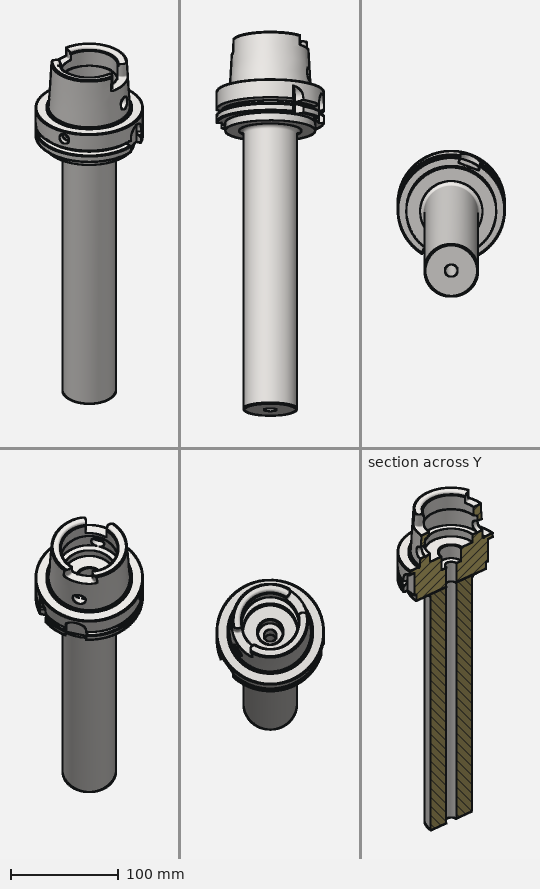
import cadquery as cq
import math

total_length = 353.0
taper_length = 49.0
flange_height = 30.0
collar_height = 7.5
shaft_length = total_length - taper_length - flange_height - collar_height
collar_top = shaft_length + collar_height
flange_top = collar_top + flange_height

flange_radius = 100.0 / 2
collar_radius = 83.5 / 2
taper_base_radius = 75.5 / 2
taper_end_radius = 70.2 / 2
rim_chamfer = 1.0
flange_chamfer = 0.7

relief_radius = 79.8 / 2
relief_middle_radius = 77.5 / 2
relief_depth = 1.0
taper_foot_height = 0.7

groove_drop = 20.0
groove_mouth = 5.5
groove_chamfer = 0.7
groove_floor = 2.0
groove_radius = 90.7 / 2

mouth_radius = 53.0 / 2
mouth_fillet = 2.8
mouth_step = 0.7
lip_depth = 19.5
undercut_radius = 62.0 / 2
undercut_slope = math.radians(30)
undercut_floor_depth = 40.2
socket_radius = 50.5 / 2
socket_depth = 49.0
tube_seat_radius = 23.3 / 2
tube_seat_chamfer = 0.7
tube_seat_depth = 15.0
coolant_radius = 11.5 / 2

slot_width = 20.0
shallow_slot_depth = 10.0
deep_slot_depth = 14.8
slot_corner_radius = 5.3
slot_floor_fillet = 1.8
cross_hole_radius = 12.5 / 2
cross_hole_drop = 34.2

pocket_width = 20.0
pocket_top_drop = 5.0
key_floor_distance = 44.0
notch_floor_distance = 30.7
notch_offset = 41.5

chip_hole_radius = 10.0 / 2
chip_hole_drop = 8.0
chip_hole_depth = 6.5
chip_pilot_radius = 1.0
chip_pilot_depth = 2.0

shaft_radius = 50.0 / 2
root_fillet = 4.0
shaft_chamfer = 1.0


def head_blank():
    """Revolved outside of the head: collar, grooved flange and taper, without the socket."""
    groove_middle = flange_top - groove_drop
    profile = [
        (0, shaft_length),
        (collar_radius, shaft_length),
        (collar_radius, collar_top),
        (flange_radius - flange_chamfer, collar_top),
        (flange_radius, collar_top + flange_chamfer),
        (flange_radius, groove_middle - groove_mouth / 2 - groove_chamfer),
        (flange_radius - groove_chamfer, groove_middle - groove_mouth / 2),
        (groove_radius, groove_middle - groove_floor / 2),
        (groove_radius, groove_middle + groove_floor / 2),
        (flange_radius, groove_middle + groove_mouth / 2),
        (flange_radius, flange_top - flange_chamfer),
        (flange_radius - flange_chamfer, flange_top),
        (relief_radius, flange_top),
        (relief_middle_radius, flange_top - relief_depth),
        (taper_base_radius, flange_top + taper_foot_height),
        (taper_end_radius, total_length - rim_chamfer),
        (taper_end_radius - rim_chamfer, total_length),
        (0, total_length),
    ]
    return cq.Workplane("XZ").polyline(profile).close().revolve(360, (0, 0), (0, 1))


def socket():
    """Stepped round cavity that opens at the rim and runs on as the coolant bore."""
    lip = total_length - lip_depth
    undercut_top = lip - (undercut_radius - mouth_radius) * math.tan(undercut_slope)
    undercut_floor = total_length - undercut_floor_depth
    socket_floor = total_length - socket_depth
    seat_floor = socket_floor - tube_seat_depth
    fillet_foot_radius = mouth_radius + mouth_step
    fillet_foot = total_length - mouth_fillet
    bend = mouth_fillet * (1 - math.sqrt(0.5))
    return (
        cq.Workplane("XZ")
        .moveTo(0, shaft_length)
        .lineTo(coolant_radius, shaft_length)
        .lineTo(coolant_radius, seat_floor)
        .lineTo(tube_seat_radius, seat_floor)
        .lineTo(tube_seat_radius, socket_floor - tube_seat_chamfer)
        .lineTo(tube_seat_radius + tube_seat_chamfer, socket_floor)
        .lineTo(socket_radius, socket_floor)
        .lineTo(socket_radius, undercut_floor)
        .lineTo(undercut_radius, undercut_floor)
        .lineTo(undercut_radius, undercut_top)
        .lineTo(mouth_radius, lip)
        .lineTo(mouth_radius, fillet_foot - mouth_step)
        .lineTo(fillet_foot_radius, fillet_foot)
        .threePointArc(
            (fillet_foot_radius + bend, total_length - bend),
            (fillet_foot_radius + mouth_fillet, total_length),
        )
        .lineTo(0, total_length)
        .close()
        .revolve(360, (0, 0), (0, 1))
    )


def driving_slot(side, depth):
    """Slot through the taper wall on the side -1 or +1 of X.

    Its walls round outward at the outer end, and a fillet joins them to the floor.
    """
    r = slot_corner_radius
    half = slot_width / 2
    corner_end = math.sqrt(taper_end_radius ** 2 - (half + r) ** 2)
    corner_start = corner_end - r
    outer = flange_radius
    bend = r * (1 - math.sqrt(0.5))
    slot = (
        cq.Workplane("XY")
        .workplane(offset=total_length - depth)
        .moveTo(0, -half)
        .lineTo(side * corner_start, -half)
        .threePointArc(
            (side * (corner_end - bend), -half - bend),
            (side * corner_end, -half - r),
        )
        .lineTo(side * corner_end, -outer)
        .lineTo(side * outer, -outer)
        .lineTo(side * outer, outer)
        .lineTo(side * corner_end, outer)
        .lineTo(side * corner_end, half + r)
        .threePointArc(
            (side * (corner_end - bend), half + bend),
            (side * corner_start, half),
        )
        .lineTo(0, half)
        .close()
        .extrude(depth)
    )
    return slot.faces("<Z").edges().fillet(slot_floor_fillet)


def cross_hole():
    return (
        cq.Workplane("YZ")
        .center(0, total_length - cross_hole_drop)
        .circle(cross_hole_radius)
        .extrude(taper_base_radius, both=True)
    )


def flange_pocket(side, floor_distance, offset):
    """Round-topped pocket cut along X to a flat floor, on the side -1 or +1 of X."""
    half = pocket_width / 2
    arch_top = flange_top - pocket_top_drop
    return (
        cq.Workplane("YZ")
        .workplane(offset=side * floor_distance)
        .moveTo(offset - half, collar_top)
        .lineTo(offset - half, arch_top - half)
        .threePointArc((offset, arch_top), (offset + half, arch_top - half))
        .lineTo(offset + half, collar_top)
        .close()
        .extrude(side * flange_radius)
    )


def chip_hole():
    """Blind hole from -Y with a small pilot hole in the middle of its floor."""
    floor = flange_radius - chip_hole_depth
    axis = cq.Workplane("XZ").center(0, flange_top - chip_hole_drop)
    hole = axis.workplane(offset=floor).circle(chip_hole_radius).extrude(flange_radius)
    pilot = axis.workplane(offset=floor - chip_pilot_depth).circle(chip_pilot_radius).extrude(chip_pilot_depth)
    return hole.union(pilot)


def make_head():
    head = head_blank().cut(socket()).cut(cross_hole()).cut(chip_hole())
    head = head.cut(driving_slot(-1, shallow_slot_depth)).cut(driving_slot(1, deep_slot_depth))
    for side in (-1, 1):
        head = head.cut(flange_pocket(side, key_floor_distance, 0))
    return head.cut(flange_pocket(-1, notch_floor_distance, notch_offset))


def make_shaft():
    """Round shaft with a flared root under the collar and the coolant bore along its axis."""
    bend = root_fillet * (1 - math.sqrt(0.5))
    shaft = (
        cq.Workplane("XZ")
        .moveTo(coolant_radius, 0)
        .lineTo(shaft_radius - shaft_chamfer, 0)
        .lineTo(shaft_radius, shaft_chamfer)
        .lineTo(shaft_radius, shaft_length - root_fillet)
        .threePointArc(
            (shaft_radius + bend, shaft_length - bend),
            (shaft_radius + root_fillet, shaft_length),
        )
        .lineTo(coolant_radius, shaft_length)
        .close()
        .revolve(360, (0, 0), (0, 1))
    )
    return shaft


head = make_head()
shaft = make_shaft()
result = cq.Compound.makeCompound([head.val(), shaft.val()])